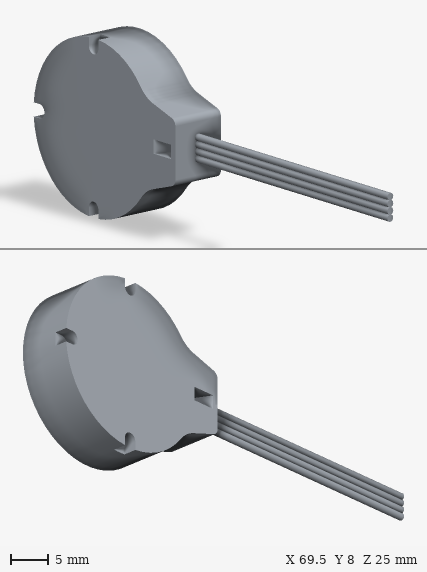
import cadquery as cq
import math

case_radius = 12.5
thickness = 8.0
tail_end_x = 17.0
tail_end_half_height = 4.5
tail_taper = math.radians(17.5)
neck_fillet = 5.0
tail_corner_fillet = 1.0
front_y = -thickness / 2

notch_width = 2.0
notch_length = 2.25
notch_depth = 2.0
notch_angles = (90, 180, 270)

pocket_start_x = 12.5
pocket_bottom_x = 14.2
pocket_end_x = 16.1
pocket_height = 2.0
pocket_depth = 4.0

wire_count = 4
wire_diameter = 1.02
wire_pitch = 1.0
wire_row_z = 0.05
wire_length = 40.0
wire_embed = 0.5


def front_plane():
    """Sketch plane on the front face: local x is X, local y is Z, normal is -Y."""
    return cq.Workplane("XZ", origin=(0, front_y, 0))


def housing():
    root_half_height = tail_end_half_height + tail_end_x * math.tan(tail_taper)
    case = front_plane().circle(case_radius).extrude(-thickness)
    tail = (
        front_plane()
        .moveTo(0, -root_half_height)
        .lineTo(tail_end_x, -tail_end_half_height)
        .lineTo(tail_end_x, tail_end_half_height)
        .lineTo(0, root_half_height)
        .close()
        .extrude(-thickness)
        .edges("|Y and >X")
        .fillet(tail_corner_fillet)
    )
    neck_zone = cq.selectors.BoxSelector(
        (case_radius / 2, -thickness, -case_radius),
        (tail_end_x - 2 * tail_corner_fillet, thickness, case_radius),
    )
    return case.union(tail).edges("|Y").edges(neck_zone).fillet(neck_fillet)


def rim_notch(angle):
    """Round-ended slot running inward from the rim at the given angle."""
    end_radius = notch_width / 2
    end_center = case_radius - notch_length + end_radius
    outside = case_radius + notch_width
    slot = (
        front_plane()
        .moveTo(outside, -end_radius)
        .lineTo(end_center, -end_radius)
        .threePointArc((case_radius - notch_length, 0), (end_center, end_radius))
        .lineTo(outside, end_radius)
        .close()
        .extrude(-notch_depth)
    )
    return slot.rotate((0, 0, 0), (0, 1, 0), angle)


def tail_pocket():
    return (
        cq.Workplane("XY")
        .moveTo(pocket_start_x, front_y)
        .lineTo(pocket_end_x, front_y)
        .lineTo(pocket_bottom_x, front_y + pocket_depth)
        .close()
        .extrude(pocket_height / 2, both=True)
    )


def wire(index):
    z = wire_row_z + (index - (wire_count - 1) / 2) * wire_pitch
    return (
        cq.Workplane("YZ", origin=(tail_end_x - wire_embed, 0, z))
        .circle(wire_diameter / 2)
        .extrude(wire_length + wire_embed)
    )


result = housing()
for notch_angle in notch_angles:
    result = result.cut(rim_notch(notch_angle))
result = result.cut(tail_pocket())
for wire_index in range(wire_count):
    result = result.union(wire(wire_index))